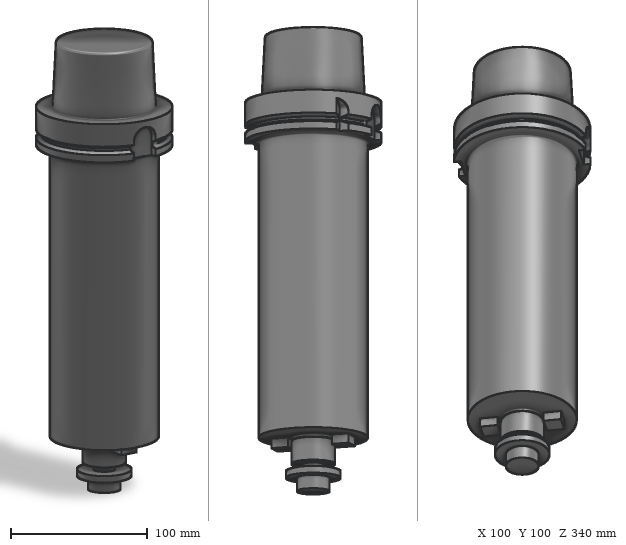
import cadquery as cq
import math


TOLERANCE = 1e-4

SHANK_LENGTH = 50.0
SHANK_BASE_RADIUS = 38.0
SHANK_TAPER = 1 / 20
SHANK_END_FILLET = 2.0
SHANK_ROOT_FILLET = 0.7

FLANGE_RADIUS = 50.0
FLANGE_THICKNESS = 29.0
GROOVE_CENTRE_Z = -20.3
GROOVE_RADIUS = 46.0
GROOVE_MOUTH_WIDTH = 6.4
GROOVE_FLOOR_WIDTH = 3.0
GROOVE_FILLET = 0.7

KEYWAY_WIDTH = 20.0
KEYWAY_TOP_Z = -5.0
KEYWAY_FLOOR_X = 44.0
SIDE_NOTCH_FLOOR_X = 32.0
SIDE_NOTCH_CENTRE_Y = 41.6

BODY_RADIUS = 40.0
BODY_LENGTH = 250.0
BODY_FILLET = 3.0

SPIGOT_RADIUS = 16.0
SPIGOT_LENGTH = 20.0
SPIGOT_CHAMFER = 0.5
RELIEF_RADIUS = 15.7
RELIEF_WIDTH = 2.0
RELIEF_CHAMFER_HEIGHT = 0.5
RELIEF_ROOT_FILLET = 1.0

NECK_RADIUS = 8.0
WASHER_RADIUS = 20.0
WASHER_THICKNESS = 5.0
WASHER_GAP = 5.0
HEAD_RADIUS = 12.0
TOTAL_LENGTH = 340.0

KEY_SPAN = 60.0
KEY_INNER_X = 17.0
KEY_WIDTH = 14.0
KEY_HEIGHT = 7.0

shank_end_radius = SHANK_BASE_RADIUS - SHANK_TAPER * SHANK_LENGTH
flange_bottom_z = -FLANGE_THICKNESS
body_bottom_z = -BODY_LENGTH
spigot_bottom_z = body_bottom_z - SPIGOT_LENGTH
washer_top_z = spigot_bottom_z - WASHER_GAP
washer_bottom_z = washer_top_z - WASHER_THICKNESS
head_bottom_z = SHANK_LENGTH - TOTAL_LENGTH


def disc(radius, bottom_z, top_z):
    """Solid cylinder about the axis between two heights."""
    return cq.Workplane("XY").workplane(offset=bottom_z).circle(radius).extrude(top_z - bottom_z)


def fillet_ring(solid, ring_radius, ring_z, fillet_radius):
    """Round the circular edge of the given radius and height about the axis."""

    def is_ring(edge):
        return (
            edge.geomType() == "CIRCLE"
            and math.isclose(edge.radius(), ring_radius, abs_tol=TOLERANCE)
            and math.isclose(edge.Center().z, ring_z, abs_tol=TOLERANCE)
        )

    return solid.edges().filter(is_ring).fillet(fillet_radius)


def make_shank_and_flange():
    """Tapered shank on a grooved flange."""
    groove_mouth = GROOVE_MOUTH_WIDTH / 2
    groove_floor = GROOVE_FLOOR_WIDTH / 2
    profile = (
        cq.Workplane("YZ")
        .moveTo(0, SHANK_LENGTH)
        .lineTo(shank_end_radius, SHANK_LENGTH)
        .lineTo(SHANK_BASE_RADIUS, 0)
        .lineTo(FLANGE_RADIUS, 0)
        .lineTo(FLANGE_RADIUS, GROOVE_CENTRE_Z + groove_mouth)
        .lineTo(GROOVE_RADIUS, GROOVE_CENTRE_Z + groove_floor)
        .lineTo(GROOVE_RADIUS, GROOVE_CENTRE_Z - groove_floor)
        .lineTo(FLANGE_RADIUS, GROOVE_CENTRE_Z - groove_mouth)
        .lineTo(FLANGE_RADIUS, flange_bottom_z)
        .lineTo(0, flange_bottom_z)
        .close()
    )
    solid = profile.revolve(360, (0, 0), (0, 1))
    solid = fillet_ring(solid, shank_end_radius, SHANK_LENGTH, SHANK_END_FILLET)
    solid = fillet_ring(solid, SHANK_BASE_RADIUS, 0, SHANK_ROOT_FILLET)
    for corner_z in (GROOVE_CENTRE_Z + groove_floor, GROOVE_CENTRE_Z - groove_floor):
        solid = fillet_ring(solid, GROOVE_RADIUS, corner_z, GROOVE_FILLET)
    return solid


def make_keyway(floor_x, centre_y, outward):
    """Round-topped cutter running from x = floor_x outward along X."""
    half_width = KEYWAY_WIDTH / 2
    arc_centre_z = KEYWAY_TOP_Z - half_width
    return (
        cq.Workplane("YZ")
        .workplane(offset=outward * floor_x)
        .moveTo(centre_y - half_width, flange_bottom_z)
        .lineTo(centre_y - half_width, arc_centre_z)
        .threePointArc((centre_y, KEYWAY_TOP_Z), (centre_y + half_width, arc_centre_z))
        .lineTo(centre_y + half_width, flange_bottom_z)
        .close()
        .extrude(outward * FLANGE_RADIUS)
    )


def make_spigot():
    """Spigot with a narrower relief at its root and a chamfered end."""
    relief_end_z = body_bottom_z - RELIEF_WIDTH
    profile = (
        cq.Workplane("XZ")
        .moveTo(0, body_bottom_z)
        .lineTo(RELIEF_RADIUS, body_bottom_z)
        .lineTo(RELIEF_RADIUS, relief_end_z)
        .lineTo(SPIGOT_RADIUS, relief_end_z - RELIEF_CHAMFER_HEIGHT)
        .lineTo(SPIGOT_RADIUS, spigot_bottom_z + SPIGOT_CHAMFER)
        .lineTo(SPIGOT_RADIUS - SPIGOT_CHAMFER, spigot_bottom_z)
        .lineTo(0, spigot_bottom_z)
        .close()
    )
    return profile.revolve(360, (0, 0), (0, 1))


def make_clamping_screw():
    """Neck, washer and head in line below the spigot."""
    neck = disc(NECK_RADIUS, washer_top_z, spigot_bottom_z)
    washer = disc(WASHER_RADIUS, washer_bottom_z, washer_top_z)
    head = disc(HEAD_RADIUS, head_bottom_z, washer_bottom_z)
    return neck.union(washer).union(head)


def make_driving_key(outward):
    """Block under the body that stands clear of the spigot."""
    length = KEY_SPAN / 2 - KEY_INNER_X
    return (
        cq.Workplane("XY")
        .workplane(offset=body_bottom_z)
        .center(outward * (KEY_INNER_X + length / 2), 0)
        .rect(length, KEY_WIDTH)
        .extrude(-KEY_HEIGHT)
    )


holder = make_shank_and_flange().union(disc(BODY_RADIUS, body_bottom_z, flange_bottom_z))
holder = fillet_ring(holder, BODY_RADIUS, flange_bottom_z, BODY_FILLET)
holder = holder.cut(make_keyway(SIDE_NOTCH_FLOOR_X, SIDE_NOTCH_CENTRE_Y, -1))
for side in (-1, 1):
    holder = holder.cut(make_keyway(KEYWAY_FLOOR_X, 0, side))
    holder = holder.union(make_driving_key(side))

holder = holder.union(make_spigot()).union(make_clamping_screw())
result = fillet_ring(holder, RELIEF_RADIUS, body_bottom_z, RELIEF_ROOT_FILLET)